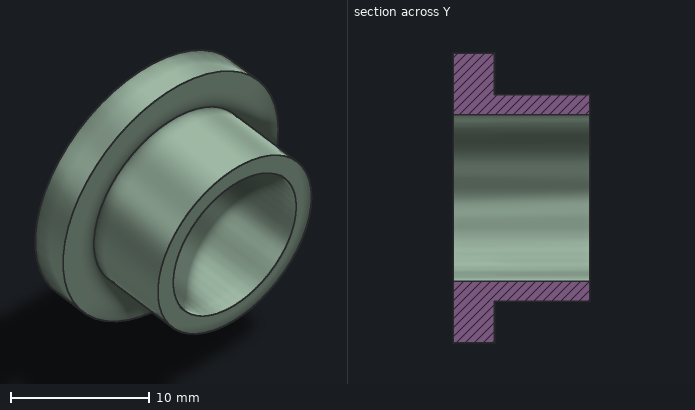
import cadquery as cq

flange_diameter = 21.0
flange_thickness = 3.0
sleeve_diameter = 15.0
bore_diameter = 12.0
total_length = 9.9


def cylinder_along_x(diameter, length):
    """Solid cylinder starting at X = 0 and running toward +X."""
    return cq.Workplane("YZ").circle(diameter / 2).extrude(length)


flange = cylinder_along_x(flange_diameter, flange_thickness)
sleeve = cylinder_along_x(sleeve_diameter, total_length)
bore = cylinder_along_x(bore_diameter, total_length)

result = flange.union(sleeve).cut(bore)